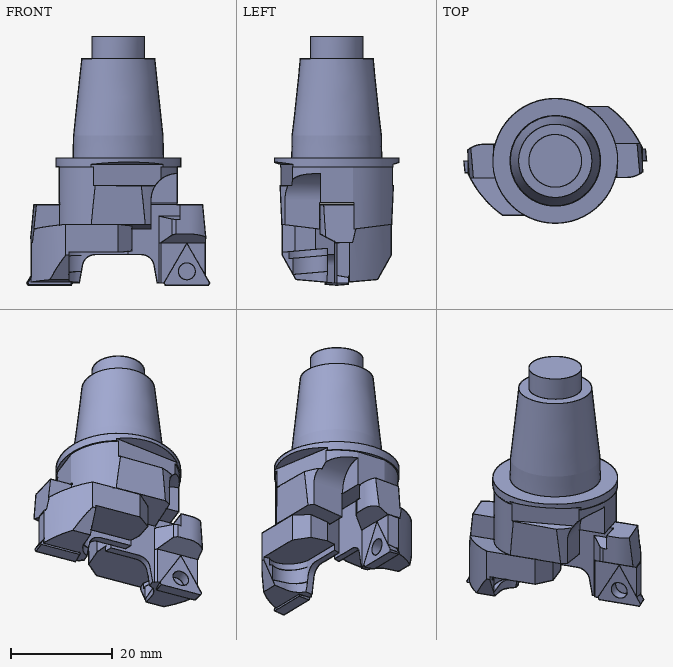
import cadquery as cq
import math

REACH = 29.4
CUTTING_DIAMETER = 36.0

HEIGHT = 49.0
SPIGOT_DIAMETER = 10.4
TAPER_TOP = 44.6
TAPER_TOP_RADIUS = 7.2
TAPER_BREAK = 29.4
TAPER_BREAK_RADIUS = 8.8
TAPER_BASE_RADIUS = 8.9
FLANGE_TOP = 25.1
FLANGE_BOTTOM = 23.3
FLANGE_DIAMETER = 24.6
BODY_RADIUS = 12.05
BODY_HALF_WIDTH = 11.6

SLOT_HALF_WIDTH = 3.4
SLOT_TOP = 16.2

NOTCH_WALL_X = 6.45
NOTCH_FLOOR_Y = -3.25
NOTCH_RADIUS = 5.15
NOTCH_TOP = 22.0

FLAT_DISTANCE = 10.0
FLAT_TURN = 10.0
FLAT_FLOOR = 19.7
FLAT_CEILING = 23.8
FLAT_FLOOR_SLOPE = 6.0
FLAT_CEILING_SLOPE = 11.0

FACE_TOP_Y = 11.15
FACE_LEAN = 2.6

JOINT_INNER_Z = 11.05
JOINT_SLOPE = 7.2

CARTRIDGE_TOP = 15.9
BACK_Y = 10.75
BACK_START_X = 0.1
BACK_END_X = 10.35
END_X = -2.7
END_Y = 8.2
END_INNER_Y = 4.2
WEB_END_X = -1.35
WEB_FACE_Y = 0.45
OUTER_X = 17.15
OUTER_FLAT_Y = 2.55
SIDE_MIDDLE = (14.3, 7.05)
SEAT_START_X = 8.45

JAW_START_X = 8.05
JAW_FRONT_Y = -3.3
JAW_RAMP_END = (10.6, -2.95)
JAW_FRONT_START_X = 11.35
JAW_FRONT_END_X = 14.05
JAW_CORNER = (17.35, -2.05)
JAW_ROOT_Z = 8.4
JAW_TIP_Z = 10.1
JAW_STEP_X = 12.1
JAW_STEP_Z = 13.6
JAW_STEP_SLOPE = 10.0

OUTER_SLOPE_BASE = 8.5
OUTER_SLOPE = 5.8
OUTER_TURN = 5.0

BOTTOM_Z = 0.45
BOTTOM_SLOPE = 5.0
BEVEL_TOP = 5.95
BEVEL_BOTTOM_Y = 8.05
BEVEL_BOTTOM_Z = 1.15
ARCH_TOP = 6.05
ARCH_FOOT_X = 7.65
ARCH_WALL_SLOPE = 10.0
ARCH_RADIUS = 2.5

GULLET_WALL_X = 9.65
GULLET_FLOOR_Y = 1.85
GULLET_CORNER_X = 7.35
GULLET_SLOPE = 5.0
GULLET_BASE_Z = -2.45
GULLET_BANDS = [
    (1.95, 5.6, 0.75),
    (5.15, 8.58, 1.95),
    (6.5, 9.35, 2.25),
]

INSERT_HEIGHT = 8.3
INSERT_HALF_WIDTH = 4.5
INSERT_CENTRE_X = CUTTING_DIAMETER / 2 - INSERT_HALF_WIDTH
INSERT_CORNER = 0.25
INSERT_THICKNESS = 2.35
INSERT_RELIEF = 5.0
INSERT_HOLE_DIAMETER = 3.35


def rise(run, slope):
    """Height gained over a run on a slope given in degrees."""
    return run * math.tan(math.radians(slope))


def turned(shape, angle):
    """The shape turned about the tool axis."""
    return shape.rotate((0, 0, 0), (0, 0, 1), angle)


def along_x(points, start, end):
    """Prism along X between two X places, from (Y, Z) points."""
    return cq.Workplane("YZ").workplane(offset=start).polyline(points).close().extrude(end - start)


def joint_height(y):
    """Height of the joint between head and cartridge at a distance from the slot's centre plane."""
    return JOINT_INNER_Z + rise(abs(y) - SLOT_HALF_WIDTH, JOINT_SLOPE)


def head_blank():
    profile = [
        (0, 0),
        (BODY_RADIUS, 0),
        (BODY_RADIUS, FLANGE_BOTTOM),
        (FLANGE_DIAMETER / 2, FLANGE_BOTTOM),
        (FLANGE_DIAMETER / 2, FLANGE_TOP),
        (TAPER_BASE_RADIUS, FLANGE_TOP),
        (TAPER_BREAK_RADIUS, TAPER_BREAK),
        (TAPER_TOP_RADIUS, TAPER_TOP),
        (SPIGOT_DIAMETER / 2, TAPER_TOP),
        (SPIGOT_DIAMETER / 2, HEIGHT),
        (0, HEIGHT),
    ]
    return cq.Workplane("XZ").polyline(profile).close().revolve(360, (0, 0), (0, 1))


def below_joint():
    """Everything under the V-shaped joint and inside the cartridge slot."""
    points = [
        (-REACH, -REACH),
        (REACH, -REACH),
        (REACH, joint_height(REACH)),
        (SLOT_HALF_WIDTH, joint_height(SLOT_HALF_WIDTH)),
        (SLOT_HALF_WIDTH, SLOT_TOP),
        (-SLOT_HALF_WIDTH, SLOT_TOP),
        (-SLOT_HALF_WIDTH, joint_height(SLOT_HALF_WIDTH)),
        (-REACH, joint_height(REACH)),
    ]
    return along_x(points, -REACH, REACH)


def body_flat():
    """Flat on the +X side of the body, under the flange."""
    return cq.Workplane("XY", origin=(BODY_HALF_WIDTH, 0, 0)).box(
        REACH, REACH, FLANGE_BOTTOM, centered=(False, True, False)
    )


def chip_notch():
    """Notch at +X, -Y whose wall curves out to a rounded top."""
    wall_top = NOTCH_TOP - NOTCH_RADIUS
    arc_end_x = NOTCH_WALL_X + NOTCH_RADIUS
    diagonal = NOTCH_RADIUS * math.sqrt(0.5)
    return (
        cq.Workplane("XZ", origin=(0, NOTCH_FLOOR_Y, 0))
        .moveTo(NOTCH_WALL_X, 0)
        .lineTo(NOTCH_WALL_X, wall_top)
        .threePointArc((arc_end_x - diagonal, wall_top + diagonal), (arc_end_x, NOTCH_TOP))
        .lineTo(REACH, NOTCH_TOP)
        .lineTo(REACH, 0)
        .close()
        .extrude(REACH)
    )


def upper_flat():
    """Turned flat on the -Y side that also runs into the flange."""
    depth = REACH - FLAT_DISTANCE
    points = [
        (-FLAT_DISTANCE, FLAT_FLOOR),
        (-REACH, FLAT_FLOOR - rise(depth, FLAT_FLOOR_SLOPE)),
        (-REACH, FLAT_CEILING + rise(depth, FLAT_CEILING_SLOPE)),
        (-FLAT_DISTANCE, FLAT_CEILING),
    ]
    return turned(along_x(points, -REACH, REACH), FLAT_TURN)


def lower_face():
    """Leaning face on the -Y side under the upper flat."""
    bottom_y = FACE_TOP_Y - rise(FLAT_FLOOR, FACE_LEAN)
    points = [(-FACE_TOP_Y, FLAT_FLOOR), (-bottom_y, 0), (-REACH, 0), (-REACH, FLAT_FLOOR)]
    return along_x(points, -REACH, REACH)


def make_head():
    head = head_blank().cut(below_joint())
    for cutter in (body_flat(), chip_notch(), upper_flat(), lower_face()):
        head = head.cut(cutter).cut(turned(cutter, 180))
    return head


def insert_blank():
    """Triangular plate with relieved sides, its face at Y = 0 and its cutting edge on Z = 0."""
    half_edge = rise(INSERT_HEIGHT, 30)
    clip_z = (half_edge - INSERT_HALF_WIDTH) / rise(1, 30)
    outline = [
        (-INSERT_HALF_WIDTH + INSERT_CORNER, 0),
        (INSERT_HALF_WIDTH - INSERT_CORNER, 0),
        (INSERT_HALF_WIDTH, clip_z),
        (0, INSERT_HEIGHT),
        (-INSERT_HALF_WIDTH, clip_z),
    ]
    plane = cq.Plane(origin=(INSERT_CENTRE_X, 0, 0), xDir=(-1, 0, 0), normal=(0, 1, 0))
    return cq.Workplane(plane).polyline(outline).close().extrude(INSERT_THICKNESS, taper=INSERT_RELIEF)


def make_insert():
    hole = (
        cq.Workplane("XZ", origin=(INSERT_CENTRE_X, 0, INSERT_HEIGHT / 3))
        .circle(INSERT_HOLE_DIAMETER / 2)
        .extrude(-INSERT_THICKNESS)
    )
    return insert_blank().cut(hole)


def cartridge_plate():
    """Main plate: the web beside the slot's centre plane and the shoulder behind it."""
    plate = (
        cq.Workplane("XY")
        .moveTo(BACK_START_X, BACK_Y)
        .lineTo(END_X, END_Y)
        .lineTo(END_X, END_INNER_Y)
        .lineTo(WEB_END_X, WEB_FACE_Y)
        .lineTo(OUTER_X, WEB_FACE_Y)
        .lineTo(OUTER_X, OUTER_FLAT_Y)
        .threePointArc(SIDE_MIDDLE, (BACK_END_X, BACK_Y))
        .close()
        .extrude(CARTRIDGE_TOP)
    )
    over_shoulder = [
        (SLOT_HALF_WIDTH, joint_height(SLOT_HALF_WIDTH)),
        (REACH, joint_height(REACH)),
        (REACH, REACH),
        (SLOT_HALF_WIDTH, REACH),
    ]
    return plate.cut(along_x(over_shoulder, -REACH, REACH))


def insert_seat():
    """Pad in front of the web that brings the seat level with the insert's face."""
    return (
        cq.Workplane("XY")
        .polyline([(JAW_START_X, WEB_FACE_Y), (SEAT_START_X, 0), (OUTER_X, 0), (OUTER_X, WEB_FACE_Y)])
        .close()
        .extrude(JAW_ROOT_Z)
    )


def cartridge_jaw():
    """Jaw that reaches over the insert, with a sloping underside and a step under the flange."""
    jaw = (
        cq.Workplane("XY", origin=(0, 0, JAW_ROOT_Z))
        .moveTo(JAW_START_X, WEB_FACE_Y)
        .lineTo(*JAW_RAMP_END)
        .lineTo(JAW_FRONT_START_X, JAW_FRONT_Y)
        .lineTo(JAW_FRONT_END_X, JAW_FRONT_Y)
        .tangentArcPoint(JAW_CORNER, relative=False)
        .lineTo(OUTER_X, WEB_FACE_Y)
        .close()
        .extrude(CARTRIDGE_TOP - JAW_ROOT_Z)
    )
    undercut = [(0, JAW_ROOT_Z), (JAW_FRONT_Y, JAW_TIP_Z), (JAW_FRONT_Y, 0), (0, 0)]
    step = [
        (WEB_FACE_Y, JAW_STEP_Z),
        (WEB_FACE_Y, REACH),
        (-REACH, REACH),
        (-REACH, JAW_STEP_Z - rise(REACH, JAW_STEP_SLOPE)),
    ]
    return jaw.cut(along_x(undercut, 0, REACH)).cut(along_x(step, 0, JAW_STEP_X))


def outer_slope():
    """Cutter for the sloping outer end of the jaw and web."""
    height = REACH - OUTER_SLOPE_BASE
    return (
        cq.Workplane("XZ", origin=(0, REACH, 0))
        .polyline(
            [
                (OUTER_X, OUTER_SLOPE_BASE),
                (OUTER_X - rise(height, OUTER_SLOPE), REACH),
                (REACH, REACH),
                (REACH, OUTER_SLOPE_BASE),
            ]
        )
        .close()
        .extrude(2 * REACH)
        .rotate((OUTER_X, 0, 0), (OUTER_X, 0, 1), OUTER_TURN)
    )


def underside():
    """Cutter for the gently sloping bottom and the steep bevel at the back."""
    bevel_run = BACK_Y - BEVEL_BOTTOM_Y
    bevel_rise = BEVEL_TOP - BEVEL_BOTTOM_Z
    points = [
        (-REACH, BOTTOM_Z - rise(REACH, BOTTOM_SLOPE)),
        (BEVEL_BOTTOM_Y, BEVEL_BOTTOM_Z),
        (BACK_Y + bevel_run, BEVEL_TOP + bevel_rise),
        (REACH, -REACH),
        (-REACH, -REACH),
    ]
    return along_x(points, -REACH, REACH)


def arch():
    """Arch between the two cutting legs, with rounded upper corners."""
    half_top = ARCH_FOOT_X - rise(ARCH_TOP - BOTTOM_Z, ARCH_WALL_SLOPE)
    half_base = ARCH_FOOT_X + rise(BOTTOM_Z, ARCH_WALL_SLOPE)
    return (
        cq.Workplane("XZ", origin=(0, REACH, 0))
        .polyline([(-half_base, 0), (half_base, 0), (half_top, ARCH_TOP), (-half_top, ARCH_TOP)])
        .close()
        .extrude(2 * REACH)
        .edges("|Y and >Z")
        .fillet(ARCH_RADIUS)
    )


def gullet_band(bottom_z, top_z, start_y, bulge):
    """One band of the gullet between two sloping planes, heights given at the back face."""
    run_x = GULLET_WALL_X - GULLET_CORNER_X
    run_y = start_y - GULLET_FLOOR_Y
    chord = math.hypot(run_x, run_y)
    middle = (
        GULLET_CORNER_X + run_x / 2 + bulge * run_y / chord,
        GULLET_FLOOR_Y + run_y / 2 - bulge * run_x / chord,
    )
    gain_at_centre = rise(BACK_Y, GULLET_SLOPE)
    loss_at_reach = rise(REACH - BACK_Y, GULLET_SLOPE)
    layer = along_x(
        [
            (0, bottom_z + gain_at_centre),
            (REACH, bottom_z - loss_at_reach),
            (REACH, top_z - loss_at_reach),
            (0, top_z + gain_at_centre),
        ],
        -REACH,
        REACH,
    )
    plan = (
        cq.Workplane("XY", origin=(0, 0, -REACH))
        .moveTo(-REACH, GULLET_FLOOR_Y)
        .lineTo(GULLET_CORNER_X, GULLET_FLOOR_Y)
        .threePointArc(middle, (GULLET_WALL_X, start_y))
        .lineTo(GULLET_WALL_X, REACH)
        .lineTo(-REACH, REACH)
        .close()
        .extrude(2 * REACH)
    )
    return plan.intersect(layer)


def gullet_bands():
    """Bands of the gullet behind the web, stacked from the bottom up to its sloping roof."""
    bands = []
    bottom_z = GULLET_BASE_Z
    for top_z, start_y, bulge in GULLET_BANDS:
        bands.append(gullet_band(bottom_z, top_z, start_y, bulge))
        bottom_z = top_z
    return bands


def make_cartridge():
    """Cartridge on the +X side, with a recess that fits its insert."""
    cartridge = cartridge_plate().union(insert_seat()).union(cartridge_jaw())
    for cutter in (outer_slope(), underside(), arch(), *gullet_bands(), insert_blank()):
        cartridge = cartridge.cut(cutter)
    return cartridge


head = make_head()
cartridge = make_cartridge()
insert = make_insert()
cartridges = []
inserts = []
for angle in (0, 180):
    cartridges.append(turned(cartridge, angle).solids().val())
    inserts.append(turned(insert, angle).solids().val())
result = cq.Compound.makeCompound([head.solids().val(), *cartridges, *inserts])